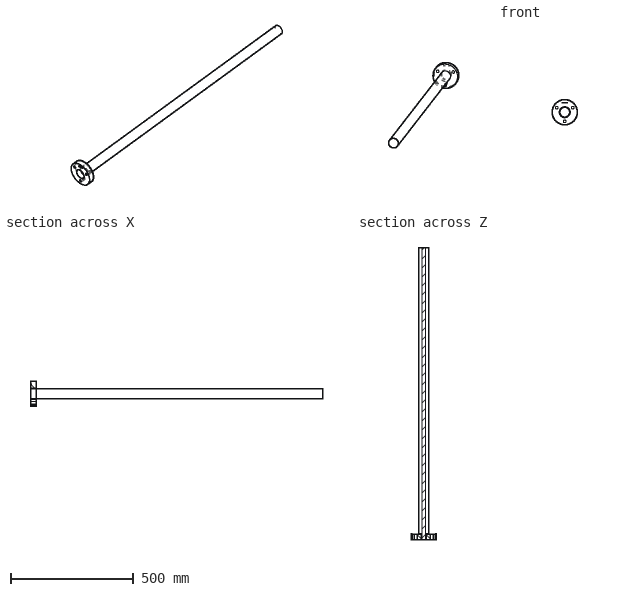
import cadquery as cq

length = 1190.0
plate_diameter = 100.0
cover_depth = 25.0
cover_wall = 2.5
cover_rim_radius = 1.0

tube_bore = 38.0
tube_wall = 2.1

hole_count = 3
hole_diameter = 11.0
hole_circle_diameter = 75.0
first_hole_angle = 30.0

slot_width = 21.0
slot_height = 2.0
slot_depth = 4.0
slot_center_z = 38.0

tube_clearance = 0.6

tube_diameter = tube_bore + 2 * tube_wall
opening_diameter = tube_diameter + 2 * tube_clearance
cover_diameter = plate_diameter + 2 * cover_wall
plate_depth = cover_depth - cover_wall


def cylinder(diameter, depth):
    """Solid cylinder about the Y axis, from Y = 0 to Y = depth."""
    return cq.Workplane("XZ").circle(diameter / 2).extrude(-depth)


def make_tube():
    """Long post tube that starts flush with the front of the base plate."""
    return cylinder(tube_diameter, length).cut(cylinder(tube_bore, length))


def make_screw_holes():
    return (
        cq.Workplane("XZ")
        .polarArray(hole_circle_diameter / 2, first_hole_angle, 360, hole_count)
        .circle(hole_diameter / 2)
        .extrude(-plate_depth)
    )


def make_slot():
    return cq.Workplane("XZ").center(0, slot_center_z).rect(slot_width, slot_height).extrude(-slot_depth)


def make_plate():
    """Base plate around the tube end, with its screw holes and front slot."""
    plate = cylinder(plate_diameter, plate_depth).cut(cylinder(opening_diameter, plate_depth))
    return plate.cut(make_screw_holes()).cut(make_slot())


def make_cover():
    """Cup-shaped cover that encloses the base plate on its rim and back."""
    blank = cylinder(cover_diameter, cover_depth).faces(">Y").edges().fillet(cover_rim_radius)
    cup = blank.cut(cylinder(plate_diameter, plate_depth))
    return cup.cut(cylinder(opening_diameter, cover_depth))


tube = make_tube()
plate = make_plate()
cover = make_cover()

result = cq.Compound.makeCompound([tube.val(), plate.val(), cover.val()])